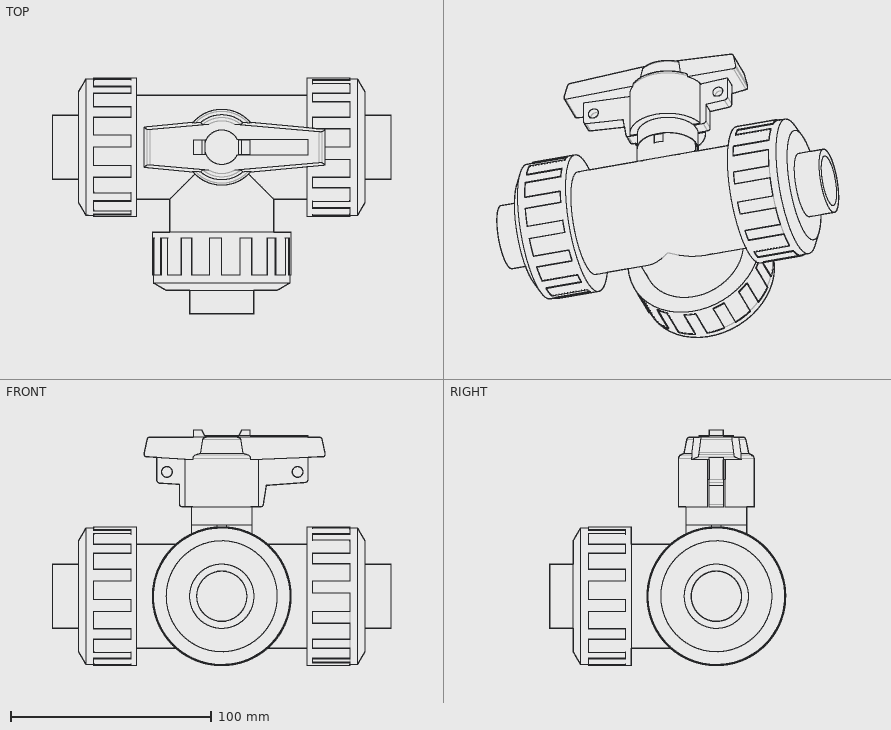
import cadquery as cq
import math


BODY_RADIUS = 26.0
SPIGOT_RADIUS = 16.0
BORE_RADIUS = 12.5
RUN_REACH = 84.5
BRANCH_REACH = 83.1

NUT_START = 42.5
COLLAR_END = 45.3
RIB_END = 63.9
CHAMFER_START = 67.8
NUT_END = 71.5
COLLAR_RADIUS = 34.6
NUT_RADIUS = 34.1
NUT_FACE_RADIUS = 27.7
RIB_COUNT = 14
RIB_PITCH = 360 / RIB_COUNT
GROOVE_ANGLE = 0.4 * RIB_PITCH

STEM_RADIUS = 15.2
STEM_SHOULDER = 35.5
STEM_TOP = 58.3
NECK_RADIUS = 15.4
NOTCH_WIDTH = 4.7
NOTCH_HEIGHT = 5.0
NOTCH_DEPTH = 0.8
NOTCH_COUNT = 4

SKIRT_RADIUS = 19.0
SKIRT_BOTTOM = 44.6
SHOULDER_START = 68.6
SHOULDER_TOP = 70.5
SHOULDER_TOP_RADIUS = 17.9
CONE_BOTTOM = 71.3
CONE_BOTTOM_RADIUS = 16.2
CONE_TOP_RADIUS = 14.5
CONE_ROUND = 1.7

LEVER_TOP = 79.5
LEVER_END_BOTTOM = 69.6
LEVER_MID_BOTTOM = 68.1
LEVER_LEFT = 38.7
LEVER_RIGHT = 51.5
LEVER_LEAN_START = 71.7
LEVER_END_LEAN = 1.7
LEVER_HALF_WIDTH = 13.7
LEVER_TAPER = 5.0
LEVER_DRAFT = 8.5
LEVER_TRIM = 8.5
LEVER_TOP_ROUND = 1.5
LEVER_BOTTOM_ROUND = 1.0
LEVER_MID_REACH = 14.2

PAD_TOP = 80.1
DISC_RADIUS = 8.6
STRIP_END = 43.0
STRIP_WIDTH = 7.8
STOP_TOP = 83.0
STOP_OUTER = 14.2
STOP_INNER_TOP = 10.0
STOP_INNER_BOTTOM = 8.5
SINK = 1.7

WEB_WIDTH = 7.1
WEB_GAP = 0.8
WEB_SINK = 0.8
WEB_LEFT = 32.5
WEB_RIGHT = 43.1
EAR_ROUND = 1.7
EAR_LEFT_BOTTOM = 56.5
EAR_RIGHT_BOTTOM = 56.8
EAR_LEFT_ROOT = 55.8
EAR_RIGHT_ROOT = 55.3
WEB_FOOT_LEFT = 21.1
WEB_FOOT_RIGHT = 20.6
WEB_FOOT_LEAN = 1.7
WEB_FOOT_ROUND = 1.4
HOLE_DIAMETER = 5.2
HOLE_HEIGHT = 62.0
EAR_HOLES_X = (-27.4, 37.9)


def upright_cylinder(radius, bottom, top):
    return cq.Workplane("XY").workplane(offset=bottom).circle(radius).extrude(top - bottom)


def cylinder_to_minus_x(radius, start, end):
    return cq.Workplane("YZ").workplane(offset=-end).circle(radius).extrude(end - start)


def front_slab(outline, width):
    """Extrude a closed XZ outline symmetrically about the XZ plane."""
    return cq.Workplane("XZ").polyline(outline).close().extrude(width / 2, both=True)


def round_corners(slab, corners, radius):
    """Fillet the Y-parallel edges of a slab that run through the given XZ corners."""
    edges = []
    for x, z in corners:
        edges += slab.edges("|Y").edges(cq.selectors.NearestToPointSelector((x, 0, z))).vals()
    return slab.newObject(edges).fillet(radius)


def make_nut():
    """Union nut on the -X leg: a collar with ribs that run out toward the free end."""
    half_section = [
        (-NUT_START, 0),
        (-NUT_START, COLLAR_RADIUS),
        (-RIB_END, COLLAR_RADIUS),
        (-RIB_END, NUT_RADIUS),
        (-CHAMFER_START, NUT_RADIUS),
        (-NUT_END, NUT_FACE_RADIUS),
        (-NUT_END, 0),
    ]
    nut = cq.Workplane("XY").polyline(half_section).close().revolve(360, (0, 0), (1, 0))

    ring = cylinder_to_minus_x(COLLAR_RADIUS, COLLAR_END, RIB_END)
    ring = ring.cut(cylinder_to_minus_x(NUT_RADIUS, COLLAR_END, RIB_END))
    wedge_reach = 2 * COLLAR_RADIUS
    wedge_end = math.radians(GROOVE_ANGLE)
    wedge = (
        cq.Workplane("YZ")
        .workplane(offset=-RIB_END)
        .polyline([
            (0, 0),
            (0, wedge_reach),
            (wedge_reach * math.sin(wedge_end), wedge_reach * math.cos(wedge_end)),
        ])
        .close()
        .extrude(RIB_END - COLLAR_END)
    )
    groove = ring.intersect(wedge)
    for index in range(RIB_COUNT):
        nut = nut.cut(groove.rotate((0, 0, 0), (1, 0, 0), index * RIB_PITCH))
    return nut


def make_leg(reach):
    """One leg of the tee, pointing to -X: body tube, nut and spigot."""
    leg = cylinder_to_minus_x(BODY_RADIUS, 0, NUT_END)
    leg = leg.union(make_nut())
    return leg.union(cylinder_to_minus_x(SPIGOT_RADIUS, 0, reach))


def make_bores():
    run = cylinder_to_minus_x(BORE_RADIUS, -RUN_REACH, RUN_REACH)
    branch = cylinder_to_minus_x(BORE_RADIUS, 0, BRANCH_REACH)
    return run.union(branch.rotate((0, 0, 0), (0, 0, 1), 90))


def make_stem():
    """Round stem standing on a slightly wider neck with shallow notches in its rim."""
    neck = upright_cylinder(NECK_RADIUS, BODY_RADIUS / 2, STEM_SHOULDER)
    notch = (
        cq.Workplane("XY")
        .box(2 * NOTCH_DEPTH, NOTCH_WIDTH, NOTCH_HEIGHT)
        .translate((-NECK_RADIUS, 0, STEM_SHOULDER - NOTCH_HEIGHT / 2))
    )
    for index in range(NOTCH_COUNT):
        neck = neck.cut(notch.rotate((0, 0, 0), (0, 0, 1), index * 360 / NOTCH_COUNT))
    return neck.union(upright_cylinder(STEM_RADIUS, STEM_SHOULDER, STEM_TOP))


def make_hub():
    """Skirt with a rounded shoulder and a sloped ledge, carrying a rounded cone."""
    hub = (
        cq.Workplane("XZ")
        .moveTo(0, SKIRT_BOTTOM)
        .lineTo(SKIRT_RADIUS, SKIRT_BOTTOM)
        .lineTo(SKIRT_RADIUS, SHOULDER_START)
        .tangentArcPoint((SHOULDER_TOP_RADIUS, SHOULDER_TOP), relative=False)
        .lineTo(CONE_BOTTOM_RADIUS, CONE_BOTTOM)
        .lineTo(CONE_TOP_RADIUS, LEVER_TOP)
        .lineTo(0, LEVER_TOP)
        .close()
        .revolve(360, (0, 0), (0, 1))
    )
    return hub.faces(">Z").edges().fillet(CONE_ROUND)


def make_lever():
    """Drafted plan shape trimmed by the side outline of the lever."""
    narrowing = math.tan(math.radians(LEVER_TAPER))
    plan_left = LEVER_LEFT + LEVER_TRIM
    plan_right = LEVER_RIGHT + LEVER_TRIM
    left_half = LEVER_HALF_WIDTH - plan_left * narrowing
    right_half = LEVER_HALF_WIDTH - plan_right * narrowing
    plan = [
        (-plan_left, -left_half),
        (0, -LEVER_HALF_WIDTH),
        (plan_right, -right_half),
        (plan_right, right_half),
        (0, LEVER_HALF_WIDTH),
        (-plan_left, left_half),
    ]
    block = (
        cq.Workplane("XY")
        .workplane(offset=LEVER_MID_BOTTOM)
        .polyline(plan)
        .close()
        .extrude(LEVER_TOP - LEVER_MID_BOTTOM, taper=LEVER_DRAFT)
    )
    outline = [
        (-LEVER_LEFT, LEVER_END_BOTTOM),
        (-LEVER_MID_REACH, LEVER_MID_BOTTOM),
        (LEVER_MID_REACH, LEVER_MID_BOTTOM),
        (LEVER_RIGHT, LEVER_END_BOTTOM),
        (LEVER_RIGHT, LEVER_LEAN_START),
        (LEVER_RIGHT - LEVER_END_LEAN, LEVER_TOP),
        (-LEVER_LEFT + LEVER_END_LEAN, LEVER_TOP),
        (-LEVER_LEFT, LEVER_LEAN_START),
    ]
    side = front_slab(outline, 4 * LEVER_HALF_WIDTH)
    side = side.faces(">Z").edges("|Y").fillet(LEVER_TOP_ROUND)
    bottom_corners = [(-LEVER_LEFT, LEVER_END_BOTTOM), (LEVER_RIGHT, LEVER_END_BOTTOM)]
    side = round_corners(side, bottom_corners, LEVER_BOTTOM_ROUND)
    return block.intersect(side)


def make_top_details():
    """Raised disc and pointer strip, with a sloped stop on each side of the disc."""
    disc = upright_cylinder(DISC_RADIUS, LEVER_TOP - SINK, PAD_TOP)
    strip = (
        cq.Workplane("XY")
        .box(STRIP_END, STRIP_WIDTH, PAD_TOP - LEVER_TOP + SINK, centered=(False, True, False))
        .translate((0, 0, LEVER_TOP - SINK))
    )
    stop_outline = [
        (STOP_OUTER, LEVER_TOP - SINK),
        (STOP_OUTER, STOP_TOP),
        (STOP_INNER_TOP, STOP_TOP),
        (STOP_INNER_BOTTOM, PAD_TOP),
        (STOP_INNER_BOTTOM, LEVER_TOP - SINK),
    ]
    stop = front_slab(stop_outline, WEB_WIDTH)
    return disc.union(strip).union(stop).union(stop.mirror("YZ"))


def make_web():
    """Flat web below the lever, with a drilled ear at each end."""
    web_top = LEVER_END_BOTTOM + WEB_SINK
    left_ear_corner = (-WEB_LEFT, EAR_LEFT_BOTTOM)
    right_ear_corner = (WEB_RIGHT, EAR_RIGHT_BOTTOM)
    left_foot = (-WEB_FOOT_LEFT, SKIRT_BOTTOM)
    right_foot = (WEB_FOOT_RIGHT, SKIRT_BOTTOM)
    outline = [
        (-WEB_LEFT, web_top),
        left_ear_corner,
        (-WEB_FOOT_LEFT, EAR_LEFT_ROOT),
        left_foot,
        right_foot,
        (WEB_FOOT_RIGHT + WEB_FOOT_LEAN, EAR_RIGHT_ROOT),
        right_ear_corner,
        (WEB_RIGHT, web_top),
    ]
    web = front_slab(outline, WEB_WIDTH)
    web = round_corners(web, [left_ear_corner, right_ear_corner], EAR_ROUND)
    return round_corners(web, [left_foot, right_foot], WEB_FOOT_ROUND)


def make_web_gaps():
    """Clearance slots beside the web: across the skirt, but only around the stem lower down."""
    height = LEVER_MID_BOTTOM - SKIRT_BOTTOM
    gap = (
        cq.Workplane("XY")
        .box(3 * SKIRT_RADIUS, WEB_GAP, height, centered=(True, True, False))
        .translate((0, (WEB_WIDTH + WEB_GAP) / 2, SKIRT_BOTTOM))
    )
    gaps = gap.union(gap.mirror("XZ"))
    return gaps.cut(upright_cylinder(STEM_RADIUS, SKIRT_BOTTOM, STEM_TOP))


def make_handle():
    handle = make_hub().cut(make_web_gaps())
    handle = handle.union(make_web()).union(make_lever()).union(make_top_details())
    for position in EAR_HOLES_X:
        hole = (
            cq.Workplane("XZ")
            .center(position, HOLE_HEIGHT)
            .circle(HOLE_DIAMETER / 2)
            .extrude(WEB_WIDTH, both=True)
        )
        handle = handle.cut(hole)
    return handle


run_leg = make_leg(RUN_REACH)
branch_leg = make_leg(BRANCH_REACH).rotate((0, 0, 0), (0, 0, 1), 90)
body = run_leg.union(run_leg.rotate((0, 0, 0), (0, 0, 1), 180)).union(branch_leg)
result = body.union(make_stem()).cut(make_bores()).union(make_handle())